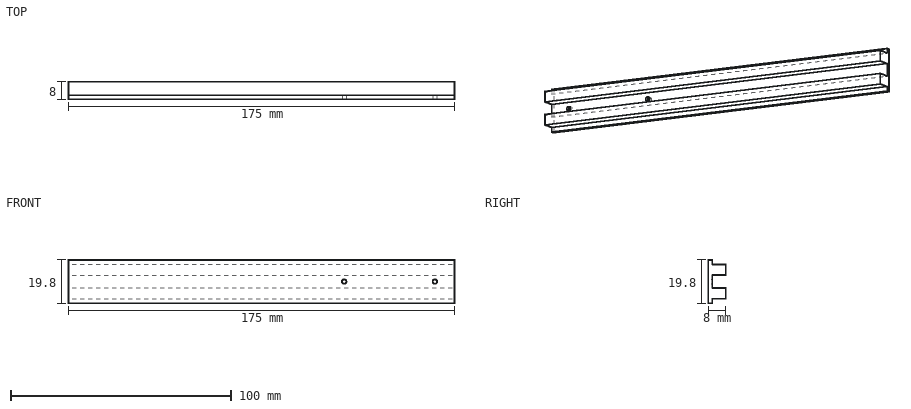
import cadquery as cq

length = 175.0
depth = 8.0
height = 19.8

plate_thickness = 2.0
rib_height = 4.9
plate_overhang = 2.1
rib_depth = depth - plate_thickness

hole_diameter = 2.0
end_hole_inset = 9.0
hole_spacing = 41.1


def make_plate():
    """Face plate with its front on the XZ plane."""
    return cq.Workplane("XY").box(length, plate_thickness, height, centered=(True, False, True))


def make_rib(side):
    """Full-length rib behind the plate; side is +1 for the upper, -1 for the lower."""
    center_z = side * (height / 2 - plate_overhang - rib_height / 2)
    return (
        cq.Workplane("XY")
        .box(length, rib_depth, rib_height, centered=(True, False, True))
        .translate((0, plate_thickness, center_z))
    )


def make_holes():
    """Cutters for the two holes on the centerline, near the +X end."""
    end_hole_x = length / 2 - end_hole_inset
    return (
        cq.Workplane("XZ")
        .pushPoints([(end_hole_x, 0), (end_hole_x - hole_spacing, 0)])
        .circle(hole_diameter / 2)
        .extrude(-plate_thickness)
    )


result = make_plate()
for side in (1, -1):
    result = result.union(make_rib(side))
result = result.cut(make_holes())